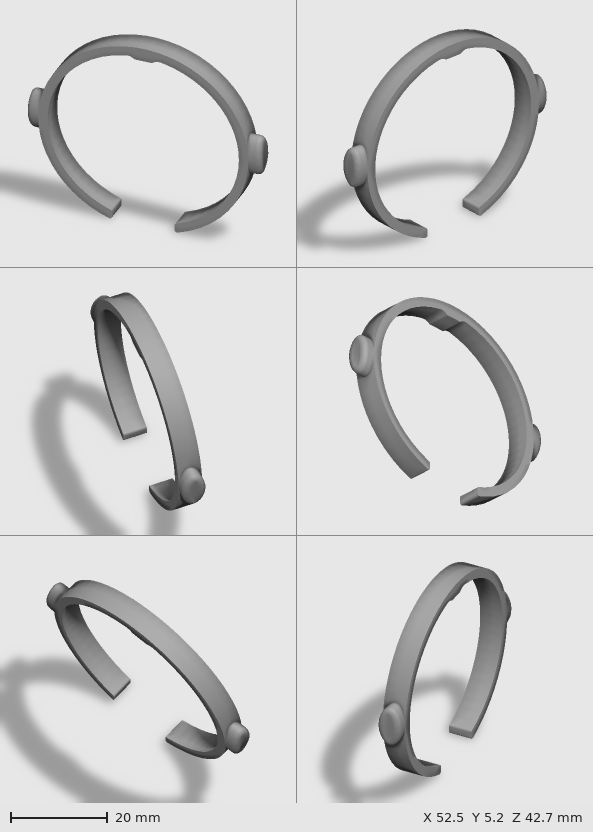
import cadquery as cq
import math

outer_half_width = 23.5
outer_half_height = 21.95
band_thickness = 2.1
band_depth = 5.2
inner_half_width = outer_half_width - band_thickness
inner_half_height = outer_half_height - band_thickness
gap_half_width = 7.05
tip_radius = 0.45

pad_bottom = 18.95
pad_half_width = 1.9
pad_root_half_width = 3.15
pad_edge_clearance = 0.25
pad_root_radius = 2.1

button_half_depth = band_depth / 2
button_half_height = 4.5
button_height = 0.7
button_floor = 26.0
button_dish_radius = 3.95
button_edge_radius = 1.05
button_root = (outer_half_width + inner_half_width) / 2
button_stock_end = 27.3


def ellipse_angle(half_width, x):
    """Parametric angle, in degrees, of the upper ellipse point at the given x."""
    return math.degrees(math.acos(x / half_width))


def ellipse_arc(half_width, half_height, start_angle, end_angle):
    """Counterclockwise arc in the XZ plane, centred on the origin."""
    return cq.Edge.makeEllipse(
        half_width,
        half_height,
        cq.Vector(0, 0, 0),
        cq.Vector(0, -1, 0),
        cq.Vector(1, 0, 0),
        start_angle,
        end_angle,
    )


def line(start, end):
    return cq.Edge.makeLine(start, end)


def make_band():
    """Open ring with the crown pad, all drawn as one closed outline."""
    outer_tip = ellipse_angle(outer_half_width, gap_half_width)
    inner_tip = ellipse_angle(inner_half_width, gap_half_width)
    pad_start = ellipse_angle(inner_half_width, pad_root_half_width)

    outer_arc = ellipse_arc(outer_half_width, outer_half_height, -outer_tip, 180 + outer_tip)
    right_arc = ellipse_arc(inner_half_width, inner_half_height, -inner_tip, pad_start)
    left_arc = ellipse_arc(inner_half_width, inner_half_height, 180 - pad_start, 180 + inner_tip)

    pad_right = cq.Vector(pad_half_width, 0, pad_bottom)
    pad_left = cq.Vector(-pad_half_width, 0, pad_bottom)
    outline = cq.Wire.assembleEdges(
        [
            outer_arc,
            line(outer_arc.endPoint(), left_arc.endPoint()),
            left_arc,
            line(left_arc.startPoint(), pad_left),
            line(pad_left, pad_right),
            line(pad_right, right_arc.endPoint()),
            right_arc,
            line(right_arc.startPoint(), outer_arc.startPoint()),
        ]
    )
    band = cq.Workplane("XZ").add(outline).toPending().extrude(band_depth)
    band = band.translate((0, band_depth / 2, 0))

    tip_zone = cq.selectors.BoxSelector(
        (-outer_half_width, -band_depth, -outer_half_height),
        (outer_half_width, band_depth, 0),
    )
    pad_root_zone = cq.selectors.BoxSelector(
        (-outer_half_width, -band_depth, pad_bottom + pad_edge_clearance),
        (outer_half_width, band_depth, outer_half_height),
    )
    band = band.edges("|Y").edges(tip_zone).fillet(tip_radius)
    return band.edges("|Y").edges(pad_root_zone).fillet(pad_root_radius)


def make_button():
    """Oval button on the +X side with a dished, rounded end."""
    button = (
        cq.Workplane("YZ", origin=(button_root, 0, button_height))
        .ellipse(button_half_depth, button_half_height)
        .extrude(button_stock_end - button_root)
    )
    dish = (
        cq.Workplane("XY", origin=(button_floor + button_dish_radius, 0, button_height))
        .circle(button_dish_radius)
        .extrude(2 * button_half_height, both=True)
    )
    return button.cut(dish).edges(">X").fillet(button_edge_radius)


right_button = make_button()
left_button = right_button.mirror("YZ")
result = make_band().union(right_button).union(left_button)